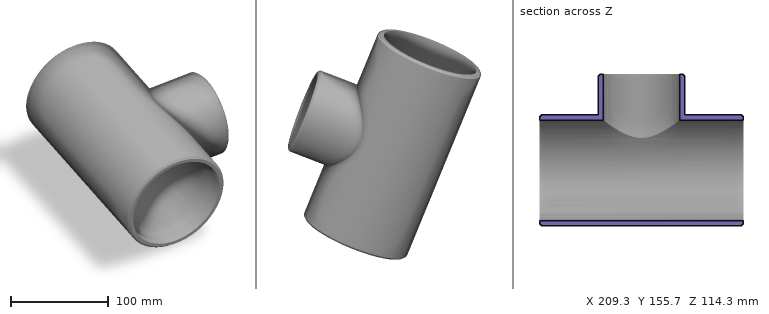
import cadquery as cq

run_length = 209.3
run_diameter = 114.3
run_wall = 5.9
run_bevel_length = 2.0
run_bevel_depth = 2.0

branch_reach = 98.5
branch_diameter = 89.0
branch_wall = 5.5
branch_bevel_length = 1.9
branch_bevel_depth = 1.9


def run_cylinder(diameter):
    """Solid cylinder along X, centred on the origin."""
    return cq.Workplane("YZ").circle(diameter / 2).extrude(run_length / 2, both=True)


def branch_cylinder(diameter):
    """Solid cylinder from the run axis to the branch end."""
    return cq.Workplane("XZ").circle(diameter / 2).extrude(-branch_reach)


run = run_cylinder(run_diameter).faces("<X or >X").edges().chamfer(run_bevel_length, run_bevel_depth)
branch = branch_cylinder(branch_diameter).faces(">Y").edges().chamfer(branch_bevel_length, branch_bevel_depth)

run_bore = run_cylinder(run_diameter - 2 * run_wall)
branch_bore = branch_cylinder(branch_diameter - 2 * branch_wall)
result = run.union(branch).cut(run_bore).cut(branch_bore)